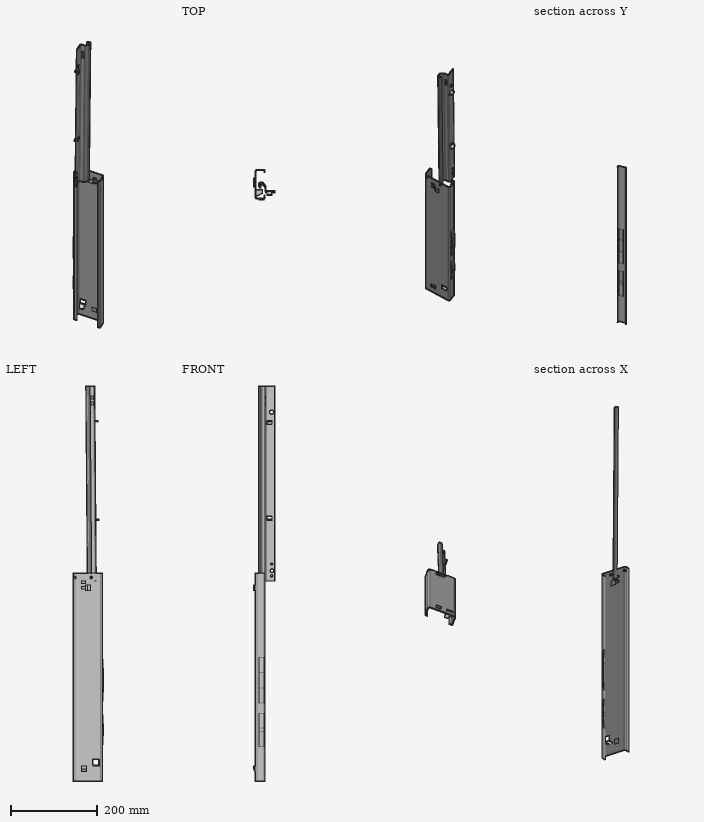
import cadquery as cq

TOTAL_LENGTH = 915.0
SHEET = 2.3
TOP_Z = TOTAL_LENGTH / 2

HOUSING_BOTTOM_Z = -TOP_Z
HOUSING_LENGTH = 482.0
HOUSING_TOP_Z = HOUSING_BOTTOM_Z + HOUSING_LENGTH
BACK_X = -21.0
FRONT_X = 2.0
UPPER_Y = 35.2
LOWER_Y = -33.4
UPPER_LIP = 6.0
LOWER_LIP = 9.0
BACK_BEND_RADIUS = 5.0
LIP_BEND_RADIUS = 3.0

BULGE_HEIGHT = 2.0
BULGE_X = (-12.0, -0.5)
BULGE_RAMP = 34.0
BULGES = ((-171.0, -275.0), (-300.0, -376.0))

PAD_HEIGHT = 4.0
PAD_LENGTH = 12.0
UPPER_PAD_Y, UPPER_PAD_Z = 1.0, -9.0
LOWER_PAD_Y, LOWER_PAD_Z = 10.0, -428.0
PAD_RAMP_DEPTH = 3.0
PAD_RAMP_LENGTH = 5.5

RECESS_DEPTH = 1.0
RECESS_WIDTH = 9.0
RECESS_HEIGHT = 5.5
RECESS_Y = UPPER_PAD_Y + PAD_LENGTH / 2 + RECESS_WIDTH / 2
RECESS_ZS = (4.0, UPPER_PAD_Z)

BACK_HOLE_DIAMETER = 5.5
BACK_HOLE_YS = (31.6, -6.9)
BACK_HOLE_Z = 15.0
BACK_HOLE_DEPTH = 5.0

WINDOW_Y = (-26.0, -11.0)
WINDOW_Z = (-419.0, -406.0)
WINDOW_TAB_REACH_X = -4.0
WINDOW_TAB_END_WIDTH = 8.0
WINDOW_TAB_ROOT = 4.0

SLIDE_LENGTH = 451.0
SLIDE_LEAN = 0.455
FLANGE_Y = -15.2
FLANGE_END_X = 25.0
HOOK_TOP = 21.0
HOOK_LEFT_X = -13.0
HOOK_TIP_X = -9.0
HOOK_TIP_HEIGHT = 12.0
HOOK_TIP_BEND_HEIGHT = 15.0
HOOK_RIGHT_X = -2.3
LEG_TOP_HEIGHT = 12.0
LEG_X = 4.1
BEND_RADIUS = 2.0

FLANGE_HOLES = (
    (16.9, 397.0, 9.0),
    (16.9, 46.0, 5.0),
    (17.8, 30.0, 8.0),
    (16.9, 18.0, 5.0),
)

SLOT_X = (5.95, 17.0)
SLOT_HEIGHT = 6.0
UPPER_SLOT_Z = 372.0
LOWER_SLOT_Z = 153.0
TAB_REACH = 6.9
TAB_THICKNESS = 3.0
TAB_LIP = 1.0

LEG_RECESSES = ((427.0, 435.0), (414.0, 421.0))
LEG_RECESS_Y = (-11.4, -5.95)
LEG_RECESS_DEPTH = 1.0


def block(x_range, y_range, z_range):
    """Box between two limits along each axis."""
    spans = (x_range, y_range, z_range)
    lengths = [high - low for low, high in spans]
    start = tuple(low for low, high in spans)
    return cq.Workplane("XY").box(*lengths, centered=False).translate(start)


def span(center, length):
    return (center - length / 2, center + length / 2)


def channel():
    """Bent sheet with a back plate, two walls and two inward lips."""
    z_range = (HOUSING_BOTTOM_Z, HOUSING_TOP_Z)
    outer = block((BACK_X, FRONT_X), (LOWER_Y, UPPER_Y), z_range)
    inner = block((BACK_X + SHEET, FRONT_X - SHEET), (LOWER_Y + SHEET, UPPER_Y - SHEET), z_range)
    outer = outer.edges("|Z and <X").fillet(BACK_BEND_RADIUS)
    outer = outer.edges("|Z and >X").fillet(LIP_BEND_RADIUS)
    inner = inner.edges("|Z and <X").fillet(BACK_BEND_RADIUS - SHEET)
    inner = inner.edges("|Z and >X").fillet(LIP_BEND_RADIUS - SHEET)
    opening = block(
        (FRONT_X - LIP_BEND_RADIUS, FRONT_X),
        (LOWER_Y + LOWER_LIP, UPPER_Y - UPPER_LIP),
        z_range,
    )
    return outer.cut(inner).cut(opening)


def bulge_form(top_z, bottom_z):
    """Ramped block standing out from the -Y wall."""
    crest_y = LOWER_Y - BULGE_HEIGHT
    outline = [
        (LOWER_Y, top_z),
        (crest_y, top_z - BULGE_RAMP),
        (crest_y, bottom_z + BULGE_RAMP),
        (LOWER_Y, bottom_z),
    ]
    left, right = BULGE_X
    return cq.Workplane("YZ", origin=(left, 0, 0)).polyline(outline).close().extrude(right - left)


def hook_pad(center_y, center_z, ramp_side):
    """Pad on the back plate, bevelled along the edge of its outer face on `ramp_side`."""
    pad = block(
        (BACK_X - PAD_HEIGHT, BACK_X),
        span(center_y, PAD_LENGTH),
        span(center_z, PAD_LENGTH),
    )
    ramp = (
        cq.Workplane("XY")
        .polyline([(0, 0), (PAD_RAMP_DEPTH, 0), (0, PAD_RAMP_LENGTH)])
        .close()
        .extrude(PAD_LENGTH)
    )
    outer_x = BACK_X - PAD_HEIGHT
    high_y = center_y + PAD_LENGTH / 2
    low_z = center_z - PAD_LENGTH / 2
    if ramp_side == "+Y":
        ramp = ramp.mirror("XZ").translate((outer_x, high_y, low_z))
    else:
        ramp = ramp.rotate((0, 0, 0), (1, 0, 0), 90).translate((outer_x, high_y, low_z))
    return pad.cut(ramp)


def window_tab():
    """Horizontal tab from the lower window edge, with one slanted corner."""
    low_y, high_y = WINDOW_Y
    root_x = BACK_X + SHEET
    outline = [
        (root_x, low_y),
        (root_x + WINDOW_TAB_ROOT, low_y),
        (WINDOW_TAB_REACH_X, high_y - WINDOW_TAB_END_WIDTH),
        (WINDOW_TAB_REACH_X, high_y),
        (root_x, high_y),
    ]
    under_z = WINDOW_Z[0] - SHEET
    return cq.Workplane("XY", origin=(0, 0, under_z)).polyline(outline).close().extrude(SHEET)


def make_housing():
    body = channel()
    for top_z, bottom_z in BULGES:
        form = bulge_form(top_z, bottom_z)
        body = body.union(form).cut(form.translate((0, SHEET, 0)))
    body = body.union(hook_pad(UPPER_PAD_Y, UPPER_PAD_Z, "+Y"))
    body = body.union(hook_pad(LOWER_PAD_Y, LOWER_PAD_Z, "-Z"))
    for recess_z in RECESS_ZS:
        recess = block(
            (BACK_X, BACK_X + RECESS_DEPTH),
            span(RECESS_Y, RECESS_WIDTH),
            span(recess_z, RECESS_HEIGHT),
        )
        body = body.cut(recess)
    hole_points = [(y, BACK_HOLE_Z) for y in BACK_HOLE_YS]
    holes = (
        cq.Workplane("YZ", origin=(BACK_X, 0, 0))
        .pushPoints(hole_points)
        .circle(BACK_HOLE_DIAMETER / 2)
        .extrude(BACK_HOLE_DEPTH)
    )
    window = block((BACK_X, BACK_X + SHEET), WINDOW_Y, WINDOW_Z)
    return body.cut(holes).cut(window).union(window_tab())


def rail():
    """Bent sheet of constant thickness, extruded straight: hook, leg and flange."""
    half = SHEET / 2
    bottom_z = TOP_Z - SLIDE_LENGTH
    hook_top_y = FLANGE_Y + HOOK_TOP - half
    flange_middle_y = FLANGE_Y + half
    bend_corners = [
        (HOOK_LEFT_X + half, FLANGE_Y + HOOK_TIP_BEND_HEIGHT),
        (HOOK_LEFT_X + half, hook_top_y),
        (HOOK_RIGHT_X - half, hook_top_y),
        (LEG_X - half, FLANGE_Y + LEG_TOP_HEIGHT),
        (LEG_X - half, flange_middle_y),
    ]
    tip = (HOOK_TIP_X, FLANGE_Y + HOOK_TIP_HEIGHT)
    flange_end = (FLANGE_END_X - half, flange_middle_y)
    middle_points = [cq.Vector(x, y, bottom_z) for x, y in [tip, *bend_corners, flange_end]]
    middle_line = cq.Wire.makePolygon(middle_points).fillet(BEND_RADIUS)
    outline = middle_line.offset2D(half)[0]
    return cq.Workplane(cq.Solid.extrudeLinear(outline, [], cq.Vector(0, 0, SLIDE_LENGTH)))


def flange_holes():
    """Round cutters through the flange."""
    cutters = cq.Workplane("XZ", origin=(0, FLANGE_Y + SHEET, 0))
    for x, z, diameter in FLANGE_HOLES:
        cutters = cutters.moveTo(x, z).circle(diameter / 2)
    return cutters.extrude(SHEET)


def flange_slot(center_z):
    return block(SLOT_X, (FLANGE_Y, FLANGE_Y + SHEET), span(center_z, SLOT_HEIGHT))


def flange_tab(bottom_z):
    """Tab standing out from the flange towards -Y."""
    return block(SLOT_X, (FLANGE_Y - TAB_REACH, FLANGE_Y + SHEET), (bottom_z, bottom_z + TAB_THICKNESS))


def make_slide():
    body = rail().cut(flange_holes())
    for slot_z in (UPPER_SLOT_Z, LOWER_SLOT_Z):
        body = body.cut(flange_slot(slot_z))

    upper_tab_z = UPPER_SLOT_Z + SLOT_HEIGHT / 2
    tab_end_y = FLANGE_Y - TAB_REACH
    tab_lip = block(SLOT_X, (tab_end_y, tab_end_y + SHEET), (upper_tab_z - TAB_LIP, upper_tab_z))
    body = body.union(flange_tab(upper_tab_z)).union(tab_lip)

    body = body.union(flange_tab(LOWER_SLOT_Z - SLOT_HEIGHT / 2 - TAB_THICKNESS))

    leg_face_x = LEG_X - SHEET
    for z_range in LEG_RECESSES:
        body = body.cut(block((leg_face_x, leg_face_x + LEG_RECESS_DEPTH), LEG_RECESS_Y, z_range))
    return body.rotate((0, FLANGE_Y, TOP_Z), (1, FLANGE_Y, TOP_Z), -SLIDE_LEAN)


housing = make_housing()
slide = make_slide()
result = cq.Compound.makeCompound([housing.solids().val(), slide.solids().val()])